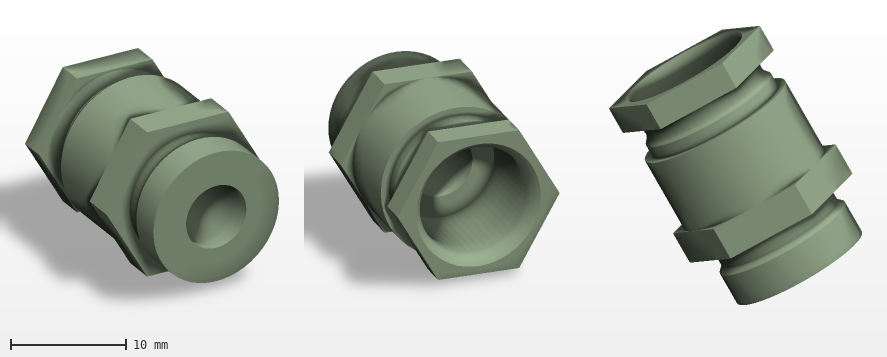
import cadquery as cq
import math

total_length = 20.4

head_length = 2.5
head_across_flats = 13.0
thread_radius = 6.25
relief_radius = 5.77
neck_radius = 1.0
neck_center = 3.39
neck_arc_end = 4.0
neck_end = 4.28
relief_chamfer = thread_radius - relief_radius
screw_bore_radius = 5.0
mouth_radius = 5.75
mouth_depth = 1.53

housing_start = 5.45
collar_start = 12.4
collar_length = 3.0
collar_across_flats = 14.0
lower_relief_length = 1.5
passage_radius = 3.0

seal_start = 9.5
seal_end = 14.5


def tube_blank(start, end, radius):
    """Solid cylinder on the X axis between two stations."""
    return cq.Workplane("YZ").workplane(offset=start).circle(radius).extrude(end - start)


def hexagon(start, length, across_flats):
    """Hexagonal prism on the X axis with corners on +Y and -Y."""
    across_corners = across_flats * 2 / math.sqrt(3)
    return cq.Workplane("YZ").workplane(offset=start).polygon(6, across_corners).extrude(length)


def revolve_about_x(profile):
    """Turn a closed XY profile around the X axis."""
    return profile.close().revolve(360, (0, 0, 0), (1, 0, 0))


def neck_height(station):
    """Distance of the round neck groove from the axis at an X station."""
    groove_center_height = relief_radius + neck_radius
    return groove_center_height - math.sqrt(neck_radius ** 2 - (station - neck_center) ** 2)


def mouth_arc_middle():
    """Midpoint of the mouth arc, which is centred on the plane where the bore begins."""
    flare = mouth_radius - screw_bore_radius
    arc_radius = (mouth_depth ** 2 + flare ** 2) / (2 * flare)
    half_angle = math.asin(mouth_depth / arc_radius) / 2
    return (
        mouth_depth - arc_radius * math.sin(half_angle),
        screw_bore_radius + arc_radius * (1 - math.cos(half_angle)),
    )


def make_mouth():
    """Flared entry whose convex wall runs tangentially into the screw bore."""
    return revolve_about_x(
        cq.Workplane("XY")
        .moveTo(0, 0)
        .lineTo(0, mouth_radius)
        .threePointArc(mouth_arc_middle(), (mouth_depth, screw_bore_radius))
        .lineTo(mouth_depth, 0)
    )


def make_pressure_screw():
    """Hex-headed hollow screw with a round neck groove and a flared mouth."""
    shank = revolve_about_x(
        cq.Workplane("XY")
        .moveTo(head_length, 0)
        .lineTo(head_length, neck_height(head_length))
        .threePointArc((neck_center, relief_radius), (neck_arc_end, neck_height(neck_arc_end)))
        .lineTo(neck_end, thread_radius)
        .lineTo(seal_start, thread_radius)
        .lineTo(seal_start, 0)
    )
    screw = hexagon(0, head_length, head_across_flats).union(shank)
    screw = screw.cut(tube_blank(0, seal_start, screw_bore_radius))
    return screw.cut(make_mouth())


def make_housing():
    """Sleeve with a hex collar and a relieved connecting thread, bored for screw and seal."""
    collar_end = collar_start + collar_length
    lower_relief_end = collar_end + lower_relief_length
    stub = revolve_about_x(
        cq.Workplane("XY")
        .moveTo(collar_end, 0)
        .lineTo(collar_end, relief_radius)
        .lineTo(lower_relief_end, relief_radius)
        .lineTo(lower_relief_end + relief_chamfer, thread_radius)
        .lineTo(total_length, thread_radius)
        .lineTo(total_length, 0)
    )
    housing = (
        tube_blank(housing_start, collar_start, collar_across_flats / 2)
        .union(hexagon(collar_start, collar_length, collar_across_flats))
        .union(stub)
    )
    housing = housing.cut(tube_blank(housing_start, seal_start, thread_radius))
    housing = housing.cut(tube_blank(seal_start, seal_end, screw_bore_radius))
    return housing.cut(tube_blank(seal_end, total_length, passage_radius))


def make_seal():
    """Plain ring whose hole lines up with the housing passage."""
    ring = tube_blank(seal_start, seal_end, screw_bore_radius)
    return ring.cut(tube_blank(seal_start, seal_end, passage_radius))


pressure_screw = make_pressure_screw()
housing = make_housing()
seal = make_seal()

result = cq.Compound.makeCompound([pressure_screw.val(), housing.val(), seal.val()])